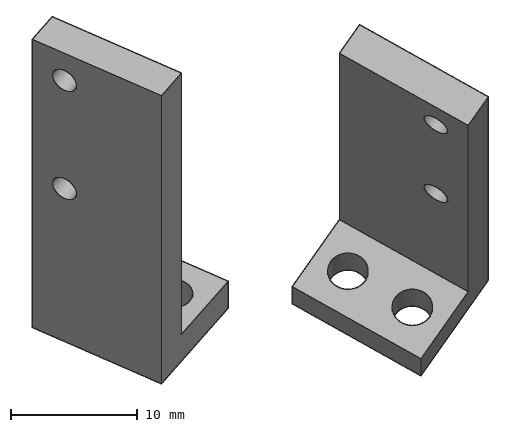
import cadquery as cq

width = 12.0
depth = 10.0
height = 32.0
thickness = 3.0

wall_hole_diameter = 2.2
wall_hole_x = 3.0
wall_hole_top_offset = 3.0
wall_hole_spacing = 12.0

foot_hole_diameter = 3.2
foot_hole_spacing = 6.0
foot_hole_y = thickness + (depth - thickness) / 2


def make_body():
    """Upright wall along the front face with a foot reaching back along +Y."""
    wall = cq.Workplane("XY").box(width, thickness, height, centered=False)
    foot = cq.Workplane("XY").box(width, depth, thickness, centered=False)
    return wall.union(foot)


def make_wall_holes():
    """Cutters along Y, one above the other."""
    upper_z = height - wall_hole_top_offset
    centers = [(wall_hole_x, upper_z), (wall_hole_x, upper_z - wall_hole_spacing)]
    return (
        cq.Workplane("XZ")
        .pushPoints(centers)
        .circle(wall_hole_diameter / 2)
        .extrude(-thickness)
    )


def make_foot_holes():
    """Cutters along Z, side by side."""
    centers = [(width / 2 + side * foot_hole_spacing / 2, foot_hole_y) for side in (-1, 1)]
    return (
        cq.Workplane("XY")
        .pushPoints(centers)
        .circle(foot_hole_diameter / 2)
        .extrude(thickness)
    )


result = make_body().cut(make_wall_holes()).cut(make_foot_holes())